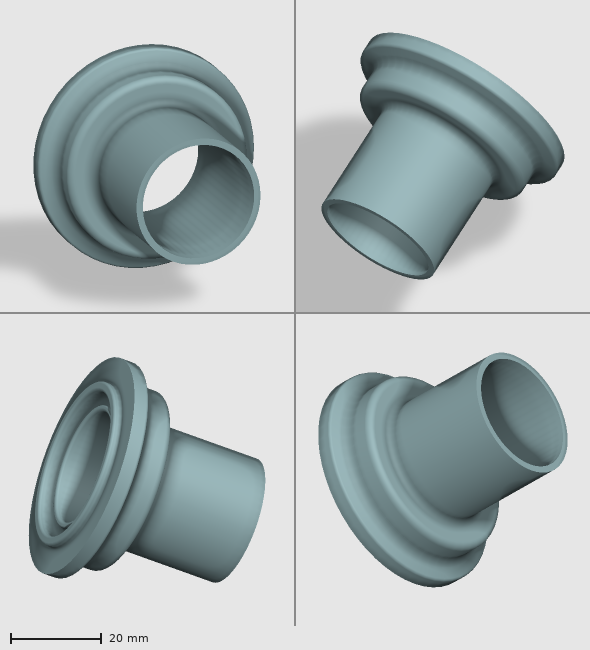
import cadquery as cq
import math

length = 40.0
flange_radius = 50.5 / 2
collar_radius = 42.0 / 2
lip_radius = 38.3 / 2
tube_radius = 29.0 / 2
bore_radius = 26.0 / 2

flange_front = 1.85
flange_cone_start = 5.5
collar_back = 13.6

lip_round = 0.55
lip_root_fillet = 0.4
rim_round = 0.7
cone_root_fillet = 2.1
collar_round = 1.55
tube_root_fillet = 1.55
cone_tilt = math.radians(20)

groove_outer_radius = 16.95
groove_inner_radius = 14.3
groove_mouth_round = 0.6
groove_depth = 3.65
ridge_top = 2.2
ridge_round = 0.35
bore_entry_round = 0.6


def round_arc(sketch, center, radius, start_deg, end_deg):
    """Add an arc about a center, from the current point at start_deg to end_deg."""
    def on_arc(degrees):
        angle = math.radians(degrees)
        return (center[0] + radius * math.cos(angle), center[1] + radius * math.sin(angle))

    return sketch.threePointArc(on_arc((start_deg + end_deg) / 2), on_arc(end_deg))


cone_angle = math.degrees(cone_tilt)
rim_center = (flange_cone_start - rim_round * math.cos(cone_tilt), flange_radius - rim_round)
cone_top_radius = rim_center[1] + rim_round * math.sin(cone_tilt)
cone_root_center_radius = collar_radius + cone_root_fillet
cone_bottom_radius = cone_root_center_radius - cone_root_fillet * math.sin(cone_tilt)
cone_end = flange_cone_start + (cone_top_radius - cone_bottom_radius) * math.tan(cone_tilt)
cone_root_center = (cone_end + cone_root_fillet * math.cos(cone_tilt), cone_root_center_radius)

profile = cq.Workplane("XY").moveTo(0, lip_radius - lip_round)
profile = round_arc(profile, (lip_round, lip_radius - lip_round), lip_round, 180, 90)
profile = profile.lineTo(flange_front - lip_root_fillet, lip_radius)
lip_root_center = (flange_front - lip_root_fillet, lip_radius + lip_root_fillet)
profile = round_arc(profile, lip_root_center, lip_root_fillet, -90, 0)
profile = profile.lineTo(flange_front, flange_radius).lineTo(rim_center[0], flange_radius)
profile = round_arc(profile, rim_center, rim_round, 90, cone_angle)
profile = profile.lineTo(cone_end, cone_bottom_radius)

profile = round_arc(profile, cone_root_center, cone_root_fillet, 180 + cone_angle, 270)
profile = profile.lineTo(collar_back - collar_round, collar_radius)
collar_center = (collar_back - collar_round, collar_radius - collar_round)
profile = round_arc(profile, collar_center, collar_round, 90, 0)
profile = profile.lineTo(collar_back, tube_radius + tube_root_fillet)

tube_root_center = (collar_back + tube_root_fillet, tube_radius + tube_root_fillet)
profile = round_arc(profile, tube_root_center, tube_root_fillet, 180, 270)
profile = profile.lineTo(length, tube_radius).lineTo(length, bore_radius)
profile = profile.lineTo(ridge_top + bore_entry_round, bore_radius)

bore_entry_center = (ridge_top + bore_entry_round, bore_radius + bore_entry_round)
profile = round_arc(profile, bore_entry_center, bore_entry_round, 270, 180)
ridge_center = (ridge_top + ridge_round, groove_inner_radius - ridge_round)
profile = profile.lineTo(ridge_top, ridge_center[1])
profile = round_arc(profile, ridge_center, ridge_round, 180, 90)

groove_bottom = (groove_depth, (groove_inner_radius + groove_outer_radius) / 2)
groove_mouth = (groove_mouth_round, groove_outer_radius)
profile = profile.spline(
    [groove_bottom, groove_mouth],
    tangents=[(1, 0), (-1, 0)],
    includeCurrent=True,
)
mouth_center = (groove_mouth_round, groove_outer_radius + groove_mouth_round)
profile = round_arc(profile, mouth_center, groove_mouth_round, 270, 180)

result = profile.close().revolve(360, (0, 0, 0), (1, 0, 0))